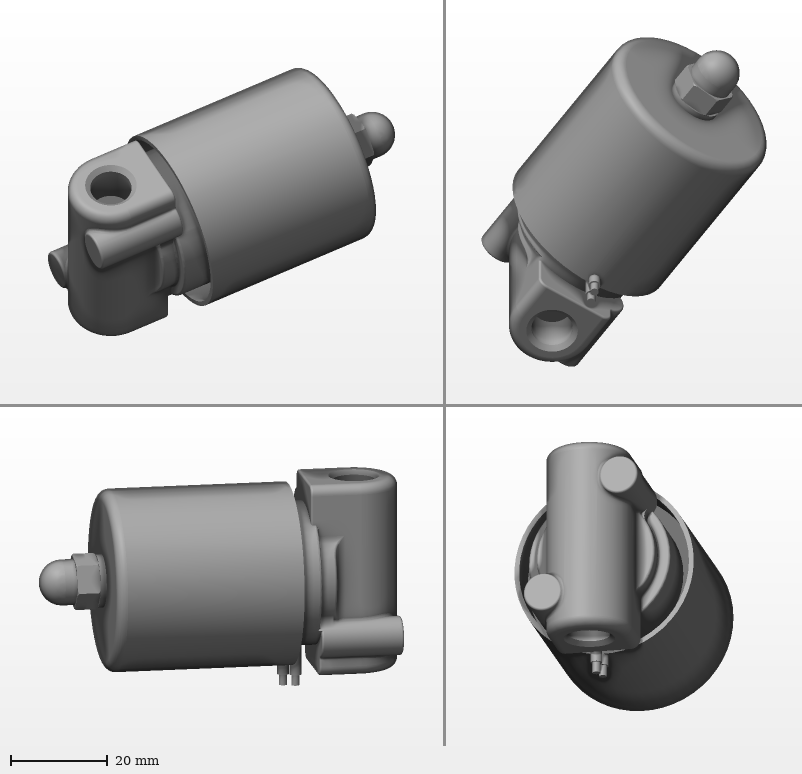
import cadquery as cq
import math


can_radius = 38.0 / 2
can_bore_radius = 36 / 2
can_length = 39.15
can_recess_depth = 8.0
can_back_fillet = 2.1

washer_radius = 11.0 / 2
washer_thickness = 1.3
hex_corner_radius = 5.85
hex_height = 4.8
hex_angle = 12.2
hex_corner_chamfer = 0.3
cap_radius = 9.5 / 2
cap_straight_height = 2.4

core_radius = 30 / 2
core_front_y = -4.5
core_fillet = 0.5
core_root_fillet = 0.45
core_root_z = 10.8
flange_radius = 12.5
flange_front_y = -8.1
flange_fillet = 0.5
flange_side_fillet = 2.0

block_half_width = 8.9
block_half_height = 20.25
block_rear_y = -3.15
block_lower_rear_y = -4.95
block_front_y = -22.65
block_end_fillet = 2.0
block_rear_fillet = 0.45
block_round_y = block_front_y + block_half_width

port_radius = 8.55 / 2
port_mouth_radius = 5.3
port_depth = 9
port_chamfer_depth = 0.9

post_radius = 4.05
post_x = 8.0
post_z = 12.2
post_front_y = -22.2
post_fillet = 0.45
post_root_fillet = 0.5
notch_fillet = 2.0

sleeve_radius = 2.4 / 2
wire_radius = 1.7 / 2
sleeve_end_z = -21.2
wire_end_z = -23.5
inner_lead = (-0.5, 1.3)
outer_lead = (-1.35, -1.2)


def y_cylinder(radius, y_start, y_end, x=0, z=0):
    """Cylinder along Y between two Y positions."""
    base = cq.Workplane("XZ", origin=(x, y_start, z))
    return base.circle(radius).extrude(y_start - y_end)


def z_cylinder(radius, x, y, z_start, z_end):
    """Cylinder along Z between two Z positions."""
    return cq.Workplane("XY", origin=(x, y, z_start)).circle(radius).extrude(z_end - z_start)


def edges_near(body, points):
    """Edges of the body that lie nearest to the given points."""
    found = []
    for point in points:
        vertex = cq.Vertex.makeVertex(*point)
        found.append(min(body.edges().vals(), key=lambda edge: edge.distance(vertex)))
    return body.newObject(found)


def make_can():
    """Can with a round recess at its open end and a hole in its wall for the inner lead."""
    can = y_cylinder(can_radius, 0, can_length).faces(">Y").edges().fillet(can_back_fillet)
    can = can.cut(y_cylinder(can_bore_radius, 0, can_recess_depth))
    lead_x, lead_y = inner_lead
    return can.cut(z_cylinder(sleeve_radius, lead_x, lead_y, 0, sleeve_end_z))


def make_nut():
    """Domed cap nut with a washer face and chamfered hexagon corners."""
    hex_start_y = can_length + washer_thickness
    hex_end_y = hex_start_y + hex_height
    dome_start_y = hex_end_y + cap_straight_height
    washer = y_cylinder(washer_radius, can_length, hex_start_y)
    hexagon = (
        cq.Workplane("XZ", origin=(0, hex_start_y, 0))
        .transformed(rotate=(0, 0, hex_angle))
        .polygon(6, 2 * hex_corner_radius)
        .extrude(-hex_height)
    )
    corner_limit = y_cylinder(hex_corner_radius, hex_start_y, hex_end_y)
    hexagon = hexagon.intersect(corner_limit.edges().chamfer(hex_corner_chamfer))
    cap = y_cylinder(cap_radius, hex_end_y, dome_start_y)
    dome = cq.Workplane("XY", origin=(0, dome_start_y, 0)).sphere(cap_radius)
    return washer.union(hexagon).union(cap).union(dome)


def make_block():
    """Block with a rounded front and rounded top and bottom edges."""
    side_length = block_rear_y - block_round_y
    block = z_cylinder(block_half_width, 0, block_round_y, -block_half_height, block_half_height)
    rear = cq.Workplane("XY").box(2 * block_half_width, side_length, 2 * block_half_height)
    block = block.union(rear.translate((0, block_round_y + side_length / 2, 0)))
    return block.faces("<Z or >Z").edges("not >Y").fillet(block_end_fillet)


def add_flange(block):
    """Round flange blended into the sides of the block."""
    block = block.union(y_cylinder(flange_radius, flange_front_y, block_rear_y))
    corner_z = math.sqrt(flange_radius**2 - block_half_width**2)
    corners = []
    for x in (block_half_width, -block_half_width):
        corners.append((x, flange_front_y, 0))
        corners.append((x, core_front_y, corner_z))
        corners.append((x, core_front_y, -corner_z))
    block = edges_near(block, corners).fillet(flange_side_fillet)
    outer_edges = [(flange_radius, flange_front_y, 0), (-flange_radius, flange_front_y, 0)]
    return edges_near(block, outer_edges).fillet(flange_fillet)


def make_post(side):
    """Screw post: side 1 is at +X and +Z, side -1 is at -X and -Z."""
    post = y_cylinder(post_radius, post_front_y, block_rear_y, side * post_x, side * post_z)
    return post.faces("<Y").edges().fillet(post_fillet)


def add_posts(block):
    """Posts blended into the block."""
    for side in (1, -1):
        block = block.union(make_post(side))
    root_y = (block_round_y + flange_front_y) / 2
    for side in (1, -1):
        root = (side * block_half_width, root_y, side * (post_z + post_radius))
        block = edges_near(block, [root]).fillet(post_root_fillet)
    return block


def make_notch_filler(side):
    """Concave blend between the flange and a post: side 1 at +X and +Z, side -1 at -X and -Z."""
    post_distance = math.hypot(post_x, post_z)
    post_angle = math.atan2(post_z, post_x)

    def angle_at_flange(far_side, near_side):
        """Angle at the flange axis in a triangle whose third side is the line to the post axis."""
        square_sum = near_side**2 + post_distance**2 - far_side**2
        return math.acos(square_sum / (2 * near_side * post_distance))

    crossing_angle = post_angle - angle_at_flange(post_radius, flange_radius)
    crossing = (flange_radius * math.cos(crossing_angle), flange_radius * math.sin(crossing_angle))

    blend_reach = flange_radius + notch_fillet
    blend_angle = post_angle - angle_at_flange(post_radius + notch_fillet, blend_reach)
    blend_x = blend_reach * math.cos(blend_angle)
    blend_z = blend_reach * math.sin(blend_angle)
    on_flange = (flange_radius * math.cos(blend_angle), flange_radius * math.sin(blend_angle))
    post_share = post_radius / (post_radius + notch_fillet)
    on_post = (post_x + (blend_x - post_x) * post_share, post_z + (blend_z - post_z) * post_share)

    front_y = flange_front_y + flange_fillet
    filler = (
        cq.Workplane("XZ", origin=(0, core_front_y, 0))
        .moveTo(*crossing)
        .lineTo(*on_flange)
        .radiusArc(on_post, notch_fillet)
        .close()
        .extrude(core_front_y - front_y)
    )
    if side < 0:
        filler = filler.rotate((0, 0, 0), (0, 1, 0), 180)
    return filler


def shape_rear(block):
    """Rounded rear edges, with the rear set further forward below the core."""
    block = block.faces(">Y").edges().fillet(block_rear_fillet)
    step_length = block_rear_y - block_lower_rear_y
    below = cq.Workplane("XY").box(2 * can_radius, step_length, 2 * can_radius)
    below = below.translate((0, block_lower_rear_y + step_length / 2, -can_radius))
    below = below.cut(y_cylinder(core_radius, block_lower_rear_y, block_rear_y))
    block = block.cut(below)
    lower_edge = (0, block_lower_rear_y, -block_half_height)
    return edges_near(block, [lower_edge]).fillet(block_rear_fillet)


def add_core(block):
    """Round core that fills the can's recess, with fillets where its front face meets the block."""
    sharp_core = y_cylinder(core_radius, core_front_y, can_recess_depth)
    roots = [(side * block_half_width, core_front_y, -side * core_root_z) for side in (1, -1)]
    rooted_body = edges_near(block.union(sharp_core), roots).fillet(core_root_fillet)
    root_zone = y_cylinder(core_radius - core_fillet, core_front_y - core_root_fillet, core_front_y + core_fillet)
    rounded_core = sharp_core.faces("<Y").edges().fillet(core_fillet)
    return block.union(rounded_core).union(rooted_body.intersect(root_zone))


def make_port(side):
    """Cutter for a port with a chamfered mouth: side 1 is at the top, side -1 at the bottom."""
    mouth_z = block_half_height
    profile = [
        (0, mouth_z),
        (port_mouth_radius, mouth_z),
        (port_radius, mouth_z - port_chamfer_depth),
        (port_radius, mouth_z - port_depth),
        (0, mouth_z - port_depth),
    ]
    port = cq.Workplane("XZ").polyline(profile).close().revolve(360, (0, 0, 0), (0, 1, 0))
    if side < 0:
        port = port.mirror("XY")
    return port.translate((0, block_round_y, 0))


def make_lead(x, y):
    """Lead that leaves the core downwards."""
    sleeve = z_cylinder(sleeve_radius, x, y, 0, sleeve_end_z)
    wire = z_cylinder(wire_radius, x, y, sleeve_end_z, wire_end_z)
    return sleeve.union(wire)


def make_valve():
    """Valve body: block, flange, posts, core, ports and leads in one solid."""
    valve = add_posts(add_flange(make_block()))
    valve = add_core(shape_rear(valve))
    for side in (1, -1):
        valve = valve.union(make_notch_filler(side))
    for side in (1, -1):
        valve = valve.cut(make_port(side))
    for x, y in (inner_lead, outer_lead):
        valve = valve.union(make_lead(x, y))
    return valve


can = make_can()
nut = make_nut()
valve = make_valve()
result = cq.Compound.makeCompound([can.val(), nut.val(), valve.val()])